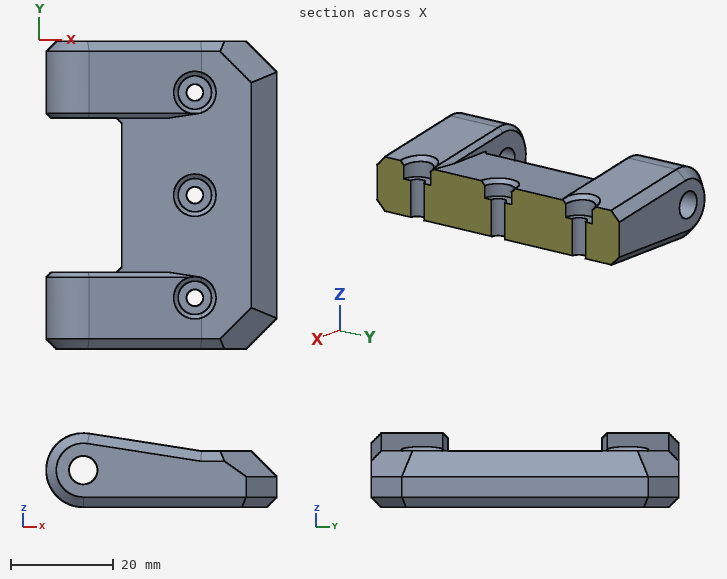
import cadquery as cq
import math

length = 45.0
width = 60.0
knuckle_diameter = 14.5
knuckle_radius = knuckle_diameter / 2
end_x = length - knuckle_radius
plate_top = 11.0
taper_end_x = 23.0
pivot_diameter = 5.5

slot_width = 30.0
slot_end_x = 7.5
slot_corner_chamfer = 1.0
lug_width = (width - slot_width) / 2

corner_cut = 6.0
top_bevel = 5.0
outer_chamfer = 2.0
inner_chamfer = 1.0

screw_x = 21.75
screw_spacing = 20.0
screw_diameter = 3.2
head_diameter = 6.5
head_depth = 3.4
head_chamfer = 0.88

margin = 5.0
start_x = -knuckle_radius - margin


def raised_stock(stock_width):
    """Bar ending at Y = width / 2: a knuckle with a tangent slope down to the flat plate top."""
    rise = plate_top - knuckle_radius
    reach = math.hypot(taper_end_x, rise)
    slope = math.asin(knuckle_radius / reach) - math.atan2(rise, taper_end_x)
    tangent_x = knuckle_radius * math.sin(slope)
    tangent_z = knuckle_radius * (1 + math.cos(slope))
    far_x = end_x + margin
    return (
        cq.Workplane("XZ", origin=(0, width / 2, 0))
        .moveTo(0, 0)
        .threePointArc((-knuckle_radius, knuckle_radius), (tangent_x, tangent_z))
        .lineTo(taper_end_x, plate_top)
        .lineTo(far_x, plate_top)
        .lineTo(far_x, 0)
        .close()
        .extrude(stock_width)
    )


def flat_stock(from_x, stock_width):
    """Slab of plate thickness, centred on Y = 0 and running past the +X end."""
    slab_length = end_x + margin - from_x
    return cq.Workplane("XY").box(
        slab_length, stock_width, plate_top, centered=(False, True, False)
    ).translate((from_x, 0, 0))


def screw_cutter(stock, y):
    """Screw hole at Y = y: shaft, head seat and a chamfer that follows the top of the stock."""
    shaft = cq.Workplane("XY").center(screw_x, y).circle(screw_diameter / 2).extrude(plate_top)
    head = (
        cq.Workplane("XY", origin=(screw_x, y, plate_top - head_depth))
        .circle(head_diameter / 2)
        .extrude(head_depth + margin)
    )
    bored = stock.cut(head)
    half_box = head_diameter / 2 + head_chamfer
    rim = cq.selectors.BoxSelector(
        (screw_x - half_box, y - half_box, plate_top - head_depth / 2),
        (screw_x + half_box, y + half_box, plate_top + head_depth / 2),
        boundingbox=True,
    )
    finished = bored.edges(rim).chamfer(head_chamfer)
    return stock.cut(finished).union(shaft)


def lug():
    """Raised +Y side of the part, with its chamfered side faces."""
    body = raised_stock(lug_width)
    body = body.faces(">Y").chamfer(outer_chamfer)
    return body.faces("<Y").chamfer(inner_chamfer)


def slot_outline(growth):
    """Slot plan at the underside, enlarged on all sides by growth."""
    depth = slot_end_x + growth - start_x
    outline_width = slot_width + 2 * growth
    return cq.Workplane("XY").center(start_x + depth / 2, 0).rect(depth, outline_width)


def slot_cutter():
    """Slot with chamfered inner corners and a 45 degree flare at the underside."""
    straight = slot_outline(0).extrude(plate_top)
    straight = straight.edges("|Z and >X").chamfer(slot_corner_chamfer)
    flare = slot_outline(inner_chamfer).extrude(inner_chamfer, taper=45)
    return straight.union(flare)


def web():
    """Flat plate between the lugs; it overlaps them enough to bury their inner chamfers."""
    slab = flat_stock(slot_end_x - slot_corner_chamfer, slot_width + 2 * inner_chamfer)
    return slab.cut(slot_cutter())


def end_envelope():
    """Outer limits of the part: cut corners, top bevel and underside chamfer at the +X end."""
    block = (
        cq.Workplane("XY")
        .box(end_x - start_x, width, plate_top, centered=(False, True, False))
        .translate((start_x, 0, 0))
        .edges("|Z and >X")
        .chamfer(corner_cut)
    )
    end_edges = cq.selectors.BoxSelector(
        (end_x - corner_cut, -width, -margin), (end_x + margin, width, plate_top + margin)
    )
    for face, edge_break in ((">Z", top_bevel), ("<Z", outer_chamfer)):
        block = block.faces(face).edges(end_edges).chamfer(edge_break)
    lug_space = (
        cq.Workplane("XY")
        .box(taper_end_x - start_x, width, knuckle_diameter, centered=(False, True, False))
        .translate((start_x, 0, 0))
    )
    return block.union(lug_space)


def pivot_cutter():
    """Pin hole through both knuckles, concentric with their round ends."""
    return (
        cq.Workplane("XZ", origin=(0, width / 2, knuckle_radius))
        .circle(pivot_diameter / 2)
        .extrude(width)
    )


positive_lug = lug()
body = positive_lug.union(positive_lug.mirror("XZ")).union(web())
body = body.intersect(end_envelope())
body = body.cut(pivot_cutter())

outer_screw = screw_cutter(raised_stock(width), screw_spacing)
center_screw = screw_cutter(flat_stock(slot_end_x, slot_width), 0)
for cutter in (outer_screw, center_screw, outer_screw.mirror("XZ")):
    body = body.cut(cutter)

result = body